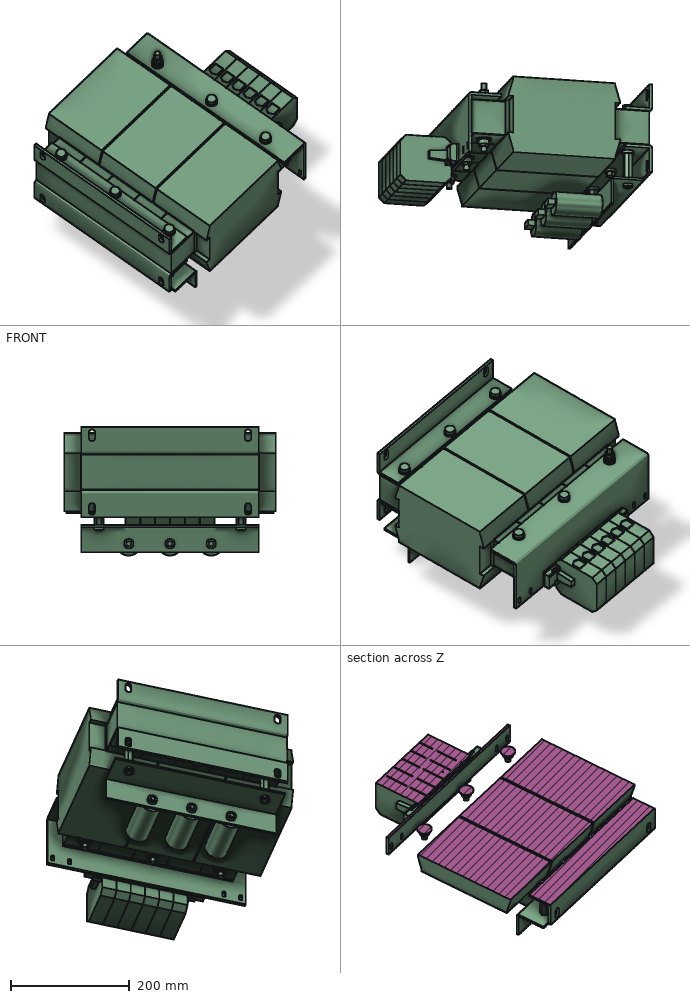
import cadquery as cq
import math


leg_pitch = 120.0
leg_width = leg_pitch / 2
core_length = 2 * leg_pitch + leg_width
core_depth = 310.0
core_half_height = 29.0
window_depth = core_depth - 2 * leg_width
yoke_y = (core_depth - leg_width) / 2
insulation_thickness = 1.3
insulation_depth = 54.5
insulation_end_inset = 0.5
insulation_joint = 0.5
flange_length = core_length + 1.0
clamp_z = core_half_height + insulation_thickness

coil_width = 117.5
coil_half_depth = 89.0
coil_half_height = 66.2
wing_reach = 97.0
wing_bottom_z = 32.0
wing_tip_height = 3.0
wing_top_drop = 4.0

sheet = 5.0
bend_radius = 5.5
foot_half_height = 76.5
foot_front_y = -core_depth / 2 - sheet
foot_leg = 46.0
foot_slot_x = 131.5
foot_slot_z = 62.0
foot_slot_width = 10.5
foot_slot_height = 19.3
rear_angle_length = 349.5
rear_angle_y = 165.0
rear_angle_leg = 56.0
rear_angle_bottom = -69.0
rear_slot_z = -56.0
rear_slot_x = (136.2, 166.0)
rear_slot_width = 6.0
rear_slot_height = 11.7

head_diameter = 16.5
head_height = 6.5
washer_diameter = 19.5
washer_thickness = 2.5
lower_washer_thickness = 4.5
thread_diameter = 9.0
nut_flats = 13.5
nut_height = 7.0
rear_washer_diameter = 25.0
rear_washer_thickness = 2.0
rear_collar_diameter = 17.5
rear_collar_height = 8.0
rear_nut_height = 3.8
rear_thread_end = -53.0
earth_nut_top = 54.0
earth_disc_bottom = 42.5
earth_disc_height = 2.5
earth_spring_diameter = 16.5
earth_spring_height = 2.0
earth_stud_top = coil_half_height

standoff_bottom = -89.0
bracket_sheet = 3.8
bracket_rear_y = -coil_half_depth
bracket_leg = 55.8
bracket_bottom = -135.5
screw_head_diameter = 16.0
screw_head_height = 4.0
screw_crown_diameter = 9.2
screw_crown_height = 2.0
capacitor_pitch = 69.5
capacitor_radius = 20.0
capacitor_length = 80.0
capacitor_z = -120.7
terminal_width = 25.0
terminal_height = 10.0
terminal_length = 12.5
capacitor_nut_diameter = 16.0
capacitor_nut_height = 5.5
capacitor_stud_diameter = 9.0
capacitor_stud_height = 1.3

block_count = 6
block_pitch = 25.0
block_gap = 0.5
block_front_y = 170.0
block_rear_y = 259.0
block_top = -19.0
block_bottom = -99.0
block_chamfer = 9.5
block_front_chamfer = 11.0
marker_width = 17.0
marker_rear_y = 219.0
marker_shoulder_y = 203.0
marker_tip_y = 199.0
marker_depth = 2.0
rail_length = 208.8
rail_base_thickness = 3.0
rail_base_length = rail_length - 1.5
rail_base_top = -37.0
rail_base_bottom = -68.0
rail_front_y = 179.5
rail_inset = 1.0
rail_chamfer = 2.0
end_stop_length = 167.0
end_stop_y = (179.5, 210.5)
end_stop_z = -52.5
stop_foot_length = 181.0
stop_foot_y = (173.5, 178.0)
stop_foot_top = -36.5
stop_lip_y = 181.0
stop_lip_z = (-68.0, -59.5)
end_stop_root_half = 9.0
end_stop_tip_half = 6.3


def box(length, y_limits, z_limits):
    """Box centred on X between the given Y and Z limits."""
    (y0, y1), (z0, z1) = sorted(y_limits), sorted(z_limits)
    return cq.Workplane("XY").box(length, y1 - y0, z1 - z0).translate((0, (y0 + y1) / 2, (z0 + z1) / 2))


def along_x(profile, length):
    """Closed Y-Z outline extruded symmetrically along X."""
    return cq.Workplane("YZ").polyline(profile).close().extrude(length / 2, both=True)


def disc_z(diameter, x, y, z0, z1):
    return cq.Workplane("XY", origin=(x, y, z0)).circle(diameter / 2).extrude(z1 - z0)


def disc_y(diameter, x, z, y0, y1):
    return cq.Workplane("XZ", origin=(x, y0, z)).circle(diameter / 2).extrude(y0 - y1)


def hexagon_z(flats, x, y, z0, z1):
    corners = flats / math.cos(math.pi / 6)
    return cq.Workplane("XY", origin=(x, y, z0)).polygon(6, corners).extrude(z1 - z0)


def angle(length, corner_y, corner_z, leg_y, leg_z, thickness):
    """Bent angle whose signed legs run along Y and Z from its outer corner."""
    step_y = math.copysign(thickness, leg_y)
    step_z = math.copysign(thickness, leg_z)
    end_y, end_z = corner_y + leg_y, corner_z + leg_z
    outer = box(length, (corner_y, end_y), (corner_z, end_z))
    inner = box(length, (corner_y + step_y, end_y), (corner_z + step_z, end_z))
    corner = cq.selectors.NearestToPointSelector((0, corner_y, corner_z))
    return outer.edges("|X").edges(corner).fillet(bend_radius).cut(inner)


def upright_slots(positions_x, y, z, width, height):
    """Cutters for round-ended slots through a sheet centred at Y."""
    points = [(x, z) for x in positions_x]
    plane = cq.Workplane("XZ", origin=(0, y, 0)).pushPoints(points)
    return plane.slot2D(height, width, 90).extrude(sheet, both=True)


def make_yoke_insulation(inner_y, outer_y):
    """Strips above and below a yoke, jointed at the edges of the legs."""
    strip = box(core_length - 2 * insulation_end_inset, (inner_y, outer_y), (-clamp_z, clamp_z))
    strip = strip.cut(box(core_length, (inner_y, outer_y), (-core_half_height, core_half_height)))
    joint = box(insulation_joint, (inner_y, outer_y), (-clamp_z, clamp_z))
    for leg_x in (-leg_pitch, 0, leg_pitch):
        for edge_x in (leg_x - leg_width / 2, leg_x + leg_width / 2):
            strip = strip.cut(joint.translate((edge_x, 0, 0)))
    return strip


def make_core():
    core = cq.Workplane("XY").box(core_length, core_depth, 2 * core_half_height)
    for side in (-1, 1):
        window = cq.Workplane("XY").box(leg_pitch - leg_width, window_depth, 2 * core_half_height)
        core = core.cut(window.translate((side * leg_pitch / 2, 0, 0)))
    for side_y in (-1, 1):
        inner_y = side_y * window_depth / 2
        flange_limits = (side_y * coil_half_depth, inner_y)
        core = core.union(box(flange_length, flange_limits, (-wing_bottom_z, wing_bottom_z)))
        core = core.union(make_yoke_insulation(inner_y, inner_y + side_y * insulation_depth))
    return core


def make_coil(x):
    quarter = [
        (coil_half_depth, wing_bottom_z),
        (wing_reach, wing_bottom_z),
        (wing_reach, wing_bottom_z + wing_tip_height),
        (coil_half_depth, coil_half_height - wing_top_drop),
        (coil_half_depth, coil_half_height),
    ]
    upper = quarter + [(-y, z) for y, z in reversed(quarter)]
    lower = [(-y, -z) for y, z in upper]
    return along_x(upper + lower, coil_width).translate((x, 0, 0))


def make_foot(side_z):
    leg_z = side_z * (foot_half_height - clamp_z)
    foot = angle(core_length, foot_front_y, side_z * clamp_z, foot_leg, leg_z, sheet)
    slot_z = side_z * foot_slot_z
    slots = upright_slots(
        (-foot_slot_x, foot_slot_x), foot_front_y, slot_z, foot_slot_width, foot_slot_height
    )
    return foot.cut(slots)


def make_rear_angle():
    top = clamp_z + sheet
    plate = angle(
        rear_angle_length, rear_angle_y, top, -rear_angle_leg, rear_angle_bottom - top, sheet
    )
    positions = [side * x for side in (-1, 1) for x in rear_slot_x]
    slots = upright_slots(positions, rear_angle_y, rear_slot_z, rear_slot_width, rear_slot_height)
    return plate.cut(slots)


def make_bolt_head(x, y):
    seat = clamp_z + sheet
    head_base = seat + washer_thickness
    washer = disc_z(washer_diameter, x, y, seat, head_base)
    return washer.union(disc_z(head_diameter, x, y, head_base, head_base + head_height))


def make_earth_stud(x, y):
    seat = clamp_z + sheet
    stud = disc_z(thread_diameter, x, y, seat, earth_stud_top)
    stud = stud.union(disc_z(washer_diameter, x, y, seat, seat + washer_thickness))
    stud = stud.union(hexagon_z(nut_flats, x, y, seat, earth_nut_top))
    disc_top = earth_disc_bottom + earth_disc_height
    stud = stud.union(disc_z(rear_collar_diameter, x, y, earth_disc_bottom, disc_top))
    return stud.union(disc_z(earth_spring_diameter, x, y, disc_top, disc_top + earth_spring_height))


def make_rear_nut(x, y):
    washer_z = -clamp_z - rear_washer_thickness
    collar_z = washer_z - rear_collar_height
    nut_z = collar_z - rear_nut_height
    nut = disc_z(thread_diameter, x, y, -clamp_z, rear_thread_end)
    nut = nut.union(disc_z(rear_washer_diameter, x, y, -clamp_z, washer_z))
    nut = nut.union(disc_z(rear_collar_diameter, x, y, washer_z, collar_z))
    return nut.union(hexagon_z(nut_flats, x, y, collar_z, nut_z))


def make_front_lower_end(x, y):
    """Washer with a nut on the middle bolt, or a bracket standoff and screw on the outer ones."""
    seat = -clamp_z - sheet
    washer_z = seat - lower_washer_thickness
    end = disc_z(washer_diameter, x, y, seat, washer_z)
    if x == 0:
        return end.union(hexagon_z(nut_flats, x, y, washer_z, washer_z - nut_height))
    end = end.union(hexagon_z(nut_flats, x, y, washer_z, standoff_bottom))
    head_z = standoff_bottom - bracket_sheet
    crown_z = head_z - screw_head_height
    end = end.union(disc_z(screw_head_diameter, x, y, head_z, crown_z))
    return end.union(disc_z(screw_crown_diameter, x, y, crown_z, crown_z - screw_crown_height))


def make_capacitor(x):
    rear_y = bracket_rear_y + capacitor_length
    front_y = bracket_rear_y - bracket_sheet
    nut_y = front_y - capacitor_nut_height
    can = disc_y(2 * capacitor_radius, x, capacitor_z, bracket_rear_y, rear_y)
    terminal_z = (capacitor_z - terminal_height / 2, capacitor_z + terminal_height / 2)
    terminal = box(terminal_width, (rear_y, rear_y + terminal_length), terminal_z)
    can = can.union(terminal.translate((x, 0, 0)))
    can = can.union(disc_y(capacitor_nut_diameter, x, capacitor_z, front_y, nut_y))
    stud_y = nut_y - capacitor_stud_height
    return can.union(disc_y(capacitor_stud_diameter, x, capacitor_z, nut_y, stud_y))


def make_terminal_block(x):
    profile = [
        (block_front_y, block_bottom + block_chamfer),
        (block_front_y, block_top - block_chamfer),
        (block_front_y + block_front_chamfer, block_top),
        (block_rear_y - block_chamfer, block_top),
        (block_rear_y, block_top - block_chamfer),
        (block_rear_y, block_bottom + block_chamfer),
        (block_rear_y - block_chamfer, block_bottom),
        (block_front_y + block_front_chamfer, block_bottom),
    ]
    half = marker_width / 2
    marker = [
        (-half, marker_rear_y),
        (half, marker_rear_y),
        (half, marker_shoulder_y),
        (0, marker_tip_y),
        (-half, marker_shoulder_y),
    ]
    recess = cq.Workplane("XY", origin=(0, 0, block_top)).polyline(marker).close().extrude(-marker_depth)
    return along_x(profile, block_pitch - block_gap).cut(recess).translate((x, 0, 0))


def make_rail():
    seat_y = rear_angle_y + rail_base_thickness
    base = box(rail_base_length, (rear_angle_y, seat_y), (rail_base_bottom, rail_base_top))
    body_z = (rail_base_bottom + rail_inset, rail_base_top - rail_inset)
    body = box(rail_length, (seat_y, rail_front_y), body_z)
    body = body.faces(">Y").edges("|X").chamfer(rail_chamfer)
    root_y, tip_y = end_stop_y
    stop_profile = [
        (root_y, end_stop_z - end_stop_root_half),
        (root_y, end_stop_z + end_stop_root_half),
        (tip_y, end_stop_z + end_stop_tip_half),
        (tip_y, end_stop_z - end_stop_tip_half),
    ]
    stop = along_x(stop_profile, end_stop_length)
    foot = box(stop_foot_length, stop_foot_y, (end_stop_z, stop_foot_top))
    lip = box(stop_foot_length, (stop_foot_y[0], stop_lip_y), stop_lip_z)
    return base.union(body).union(stop).union(foot).union(lip)


result = make_core()
leg_positions = (-leg_pitch, 0, leg_pitch)
for leg_x in leg_positions:
    result = result.union(make_coil(leg_x))
result = result.union(make_foot(1)).union(make_foot(-1)).union(make_rear_angle())

bracket = angle(
    core_length,
    bracket_rear_y,
    standoff_bottom,
    -bracket_leg,
    bracket_bottom - standoff_bottom,
    bracket_sheet,
)
result = result.union(bracket)

for leg_x in leg_positions:
    result = result.union(make_bolt_head(leg_x, -yoke_y))
    result = result.union(make_front_lower_end(leg_x, -yoke_y))
    result = result.union(make_rear_nut(leg_x, yoke_y))
    rear_top = make_earth_stud if leg_x < 0 else make_bolt_head
    result = result.union(rear_top(leg_x, yoke_y))

for index in (-1, 0, 1):
    result = result.union(make_capacitor(index * capacitor_pitch))

result = result.union(make_rail())
for index in range(block_count):
    block_x = (index - (block_count - 1) / 2) * block_pitch
    result = result.union(make_terminal_block(block_x))